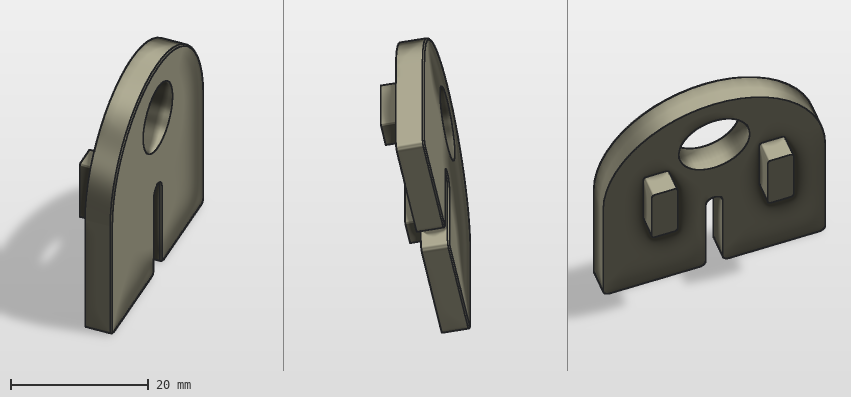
import cadquery as cq

plate_thickness = 4.2
plate_width = 34.5
plate_height = 37.5
arch_radius = plate_width / 2
spring_height = plate_height - arch_radius
corner_radius = 1.0
rim_chamfer = 0.25

hole_diameter = 11.0
hole_height = 28.0

slot_width = 2.6
slot_height = 15.5

peg_length = 3.5
peg_width = 4.0
peg_height = 10.0
peg_spacing = 18.0
peg_center_height = 20.0
peg_corner_radius = 0.5


def make_plate():
    """Arched plate with the slot in its outline and the +X rim chamfered."""
    half_width = plate_width / 2
    half_slot = slot_width / 2
    slot_spring = slot_height - half_slot
    blank = (
        cq.Workplane("YZ")
        .moveTo(half_slot, 0)
        .lineTo(half_width, 0)
        .lineTo(half_width, spring_height)
        .threePointArc((0, plate_height), (-half_width, spring_height))
        .lineTo(-half_width, 0)
        .lineTo(-half_slot, 0)
        .lineTo(-half_slot, slot_spring)
        .threePointArc((0, slot_height), (half_slot, slot_spring))
        .close()
        .extrude(plate_thickness)
    )
    bottom_corners = blank.faces("<Z").edges("|X")
    rounded = bottom_corners.fillet(corner_radius)
    return rounded.faces(">X").chamfer(rim_chamfer)


def make_hole():
    """Cylinder that cuts the round hole through the full plate thickness."""
    return (
        cq.Workplane("YZ")
        .center(0, hole_height)
        .circle(hole_diameter / 2)
        .extrude(plate_thickness)
    )


def make_pegs():
    """Pair of rectangular pegs with rounded lengthwise edges."""
    return (
        cq.Workplane("YZ")
        .pushPoints([(side * peg_spacing / 2, peg_center_height) for side in (-1, 1)])
        .rect(peg_width, peg_height)
        .extrude(-peg_length)
        .edges("|X")
        .fillet(peg_corner_radius)
    )


result = make_plate().cut(make_hole()).union(make_pegs())